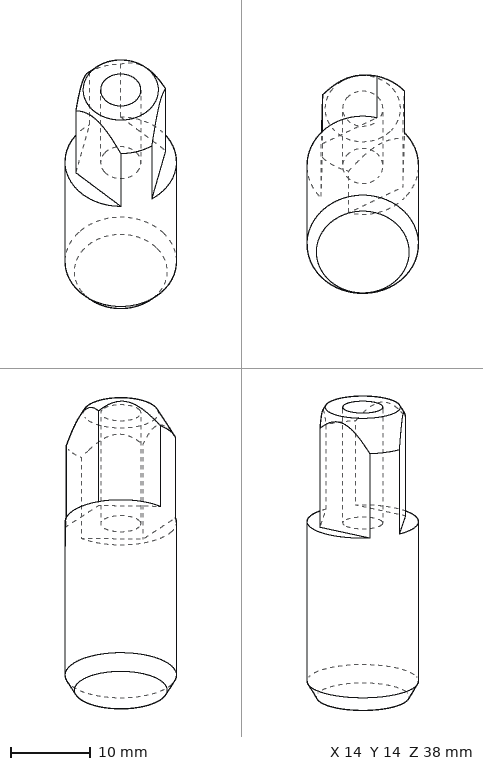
import cadquery as cq
import math

total_height = 38.0
body_radius = 7.0
shoulder_height = 23.0
taper_angle = 30.0
top_face_radius = 4.7
bottom_face_radius = 5.8
ridge_distance = 5.9
flat_angle = 30.0
hole_radius = 2.5
hole_depth = 15.2

taper_slope = math.tan(math.radians(taper_angle))
top_cone_height = (body_radius - top_face_radius) / taper_slope
bottom_cone_height = (body_radius - bottom_face_radius) / taper_slope
rhombus_half_width = ridge_distance / math.tan(math.radians(flat_angle))


def make_body():
    """Round bar with a cone at each end."""
    return (
        cq.Workplane("XZ")
        .moveTo(0, 0)
        .lineTo(bottom_face_radius, 0)
        .lineTo(body_radius, bottom_cone_height)
        .lineTo(body_radius, total_height - top_cone_height)
        .lineTo(top_face_radius, total_height)
        .lineTo(0, total_height)
        .close()
        .revolve(360, (0, 0, 0), (0, 1, 0))
    )


def make_flats_envelope():
    """Full bar below the shoulder, rhombus above it."""
    lower = cq.Workplane("XY").circle(2 * body_radius).extrude(shoulder_height)
    upper = (
        cq.Workplane("XY", origin=(0, 0, shoulder_height))
        .moveTo(rhombus_half_width, 0)
        .lineTo(0, ridge_distance)
        .lineTo(-rhombus_half_width, 0)
        .lineTo(0, -ridge_distance)
        .close()
        .extrude(total_height - shoulder_height)
    )
    return lower.union(upper)


def make_hole():
    """Blind hole down from the top face."""
    return (
        cq.Workplane("XY", origin=(0, 0, total_height))
        .circle(hole_radius)
        .extrude(-hole_depth)
    )


result = make_body().intersect(make_flats_envelope()).cut(make_hole())